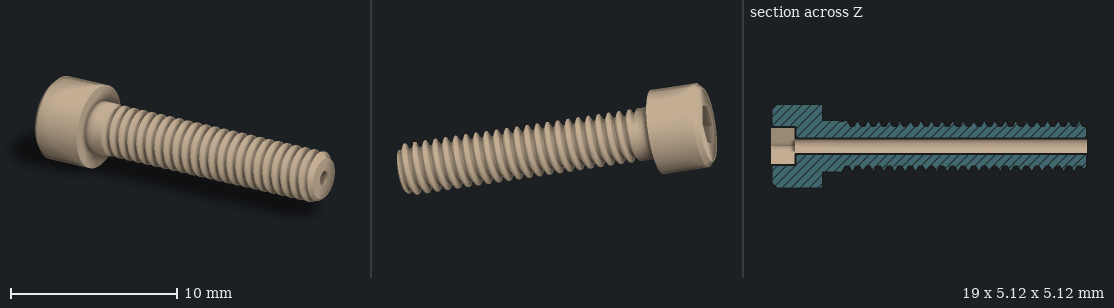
import cadquery as cq
import math

head_diameter = 5.12
head_length = 3.125
head_chamfer = 0.31
socket_width = 2.26
socket_depth = 1.44
bore_diameter = 0.9

shank_diameter = 3.175
shank_length = 15.875
shank_radius = shank_diameter / 2

pitch = 0.635
flank_slope = math.tan(math.radians(60 / 2))
crest_flat = pitch / 8
root_flat = pitch / 4
thread_depth = (pitch - crest_flat - root_flat) / (2 * flank_slope)
root_radius = shank_radius - thread_depth
tip_chamfer = pitch / 2
thread_start = 2 * pitch
run_in_turns = 0.31
clearance = 0.05


def screw_head():
    """Cylindrical head, chamfered around its outer end."""
    return (
        cq.Workplane("YZ")
        .circle(head_diameter / 2)
        .extrude(-head_length)
        .faces("<X")
        .chamfer(head_chamfer)
    )


def groove_cutter(turns, rise=0.0):
    """Solid groove along +Z, its first profile in the XZ plane centred on Z = 0.

    The whole profile moves outward by rise from its first to its last section.
    """
    outer_radius = shank_radius + clearance
    half_root = root_flat / 2
    half_outer = half_root + (outer_radius - root_radius) * flank_slope
    corners = [
        (root_radius, -half_root),
        (root_radius, half_root),
        (outer_radius, half_outer),
        (outer_radius, -half_outer),
    ]
    length = turns * pitch
    cone_angle = math.atan2(rise, length)
    slant = 1 / math.cos(cone_angle)
    cone = {"angle": math.degrees(cone_angle)} if rise else {}

    def corner_helix(radius, z):
        center = cq.Vector(0, 0, z)
        axis = cq.Vector(0, 0, 1)
        return cq.Wire.makeHelix(pitch * slant, length * slant, radius, center, axis, **cone)

    helices = [corner_helix(radius, z) for radius, z in corners]
    faces = []
    for index, helix in enumerate(helices):
        neighbour = helices[(index + 1) % len(helices)]
        faces.append(cq.Face.makeRuledSurface(helix, neighbour))
    for end in (0, 1):
        points = [helix.positionAt(end) for helix in helices]
        faces.append(cq.Face.makeFromWires(cq.Wire.makePolygon(points, close=True)))
    return cq.Solid.makeSolid(cq.Shell.makeShell(faces))


def onto_screw(cutter):
    """Turn a cutter from the Z axis onto X, its first profile on the +Z side."""
    half_turn_axis = cq.Vector(1, 0, 1)
    turned = cutter.rotate(cq.Vector(0, 0, 0), half_turn_axis, 180)
    return turned.translate(cq.Vector(thread_start, 0, 0))


def tip_chamfer_ring():
    """Triangular ring, turned about X, that takes the corner off the threaded tip."""
    corner_x = shank_length + clearance
    corner_radius = shank_radius + clearance
    leg = tip_chamfer + 2 * clearance
    return (
        cq.Workplane("XY")
        .moveTo(corner_x, corner_radius)
        .lineTo(corner_x - leg, corner_radius)
        .lineTo(corner_x, corner_radius - leg)
        .close()
        .revolve(360, (0, 0, 0), (1, 0, 0))
    )


def threaded_shank():
    """Shank with a full-depth groove running out past the tip, and its tapered run-in."""
    blank = cq.Workplane("YZ").circle(shank_radius).extrude(shank_length)
    full_turns = math.ceil((shank_length - thread_start) / pitch) + 1
    full_groove = groove_cutter(full_turns)
    run_in = groove_cutter(run_in_turns, thread_depth)
    run_in = run_in.rotate(cq.Vector(0, 0, 0), cq.Vector(1, 0, 0), 180)
    grooved = blank.cut(cq.Workplane(onto_screw(full_groove)))
    grooved = grooved.cut(cq.Workplane(onto_screw(run_in)))
    return grooved.cut(tip_chamfer_ring())


def cut_socket_and_bore(body):
    """Hexagonal socket with corners at +Z and -Z, and the axial bore."""
    socket_sides = 6
    half_side_angle = 180 / socket_sides
    across_corners = socket_width / math.cos(math.radians(half_side_angle))
    outer_end = cq.Workplane("YZ", origin=(-head_length, 0, 0))
    socket = (
        outer_end
        .polygon(socket_sides, across_corners)
        .extrude(socket_depth)
        .rotate((0, 0, 0), (1, 0, 0), half_side_angle)
    )
    bore = outer_end.circle(bore_diameter / 2).extrude(head_length + shank_length)
    return body.cut(socket).cut(bore)


result = cut_socket_and_bore(screw_head().union(threaded_shank()))